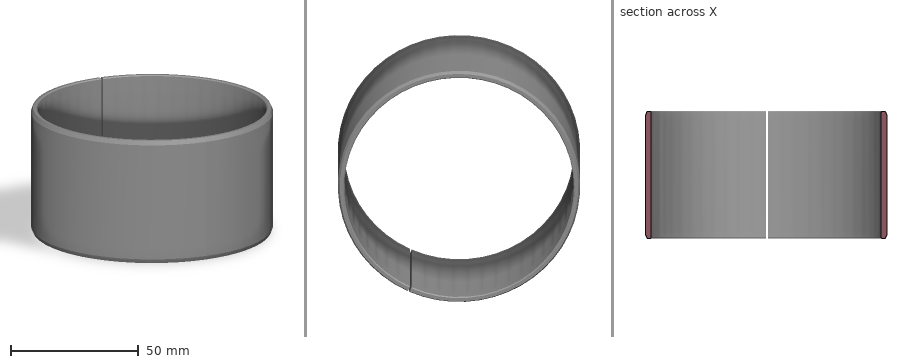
import cadquery as cq

outer_diameter = 95.0
length = 50.0
wall = 2.5

outer_chamfer_length = 1.7
outer_chamfer_depth = 0.8
inner_chamfer = 0.4

split_width = 0.8

outer_radius = outer_diameter / 2
inner_radius = outer_radius - wall
half_length = length / 2


def make_sleeve():
    """Revolve the chamfered wall section about the Z axis."""
    outer_end = half_length - outer_chamfer_length
    inner_end = half_length - inner_chamfer
    rim_outer = outer_radius - outer_chamfer_depth
    rim_inner = inner_radius + inner_chamfer
    section = [
        (inner_radius, -inner_end),
        (rim_inner, -half_length),
        (rim_outer, -half_length),
        (outer_radius, -outer_end),
        (outer_radius, outer_end),
        (rim_outer, half_length),
        (rim_inner, half_length),
        (inner_radius, inner_end),
    ]
    return cq.Workplane("XZ").polyline(section).close().revolve(360, (0, 0), (0, 1))


def make_split():
    """Block that opens the wall along its full length on the -X side."""
    return cq.Workplane("XY").box(
        outer_diameter, split_width, 2 * length, centered=(True, False, True)
    ).translate((-outer_radius, 0, 0))


result = make_sleeve().cut(make_split())